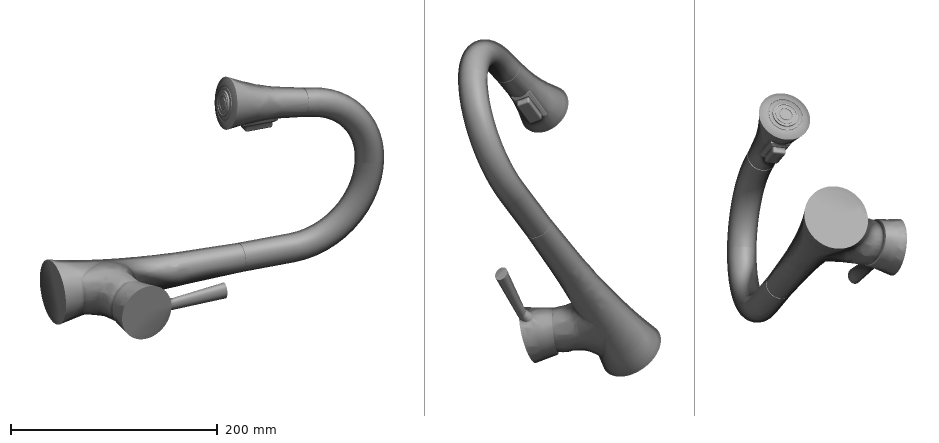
import cadquery as cq
import math

BASE_R = 32.0
TUBE_R = 14.3
BASE_BAND = 14.0
BAND_R = 29.3
COLUMN_LEN = 198.0
MID_Y = 102.8
MID_R = 18.0

GROOVE_W = 1.0
GROOVE_DEPTH = 0.52

GOOSE_REACH = 334.0
LOWER_BEND_R = 82.0
UPPER_BEND_R = 71.0
UPPER_RUN = 12.2
HEAD_TILT = 10.0

HEAD_LEN = 82.0
HEAD_MID_S = 48.8
HEAD_MID_R = 18.0
HEAD_RIM_R = 25.8
DOME_R = 18.0
DOME_RISE = 2.0
DOME_MID_R = 22.3
DOME_MID_RISE = 1.5
RING_GROOVE = (17.8, 16.0)
NOZZLE_R = 12.5
NOZZLE_RISE = 1.7
NOZZLE_GROOVES = [(11.0, 9.8), (7.0, 5.5)]
FACE_GROOVE_DEPTH = 0.7

BUTTON_Y = 215.0
BUTTON_BOSS = (19.5, 37.0)
BUTTON_PAD = (13.2, 28.5)
BOSS_BOTTOM_Z = 142.5
PAD_BOTTOM_Z = 136.2
BUTTON_TOP_Z = 156.8
PAD_FILLET = 1.7
BOSS_CHAMFER = 2.5

NECK_SECTIONS = [
    ((-3.5, 76.5), (-3.5, 21.0), 23.0),
    ((14.0, 84.3), (25.0, 14.0), 23.7),
    ((24.5, 79.0), (32.5, 28.0), 23.5),
    ((35.0, 78.7), (44.5, 34.0), 23.0),
]
NECK_END = (52.3, 60.3)
NECK_END_TILT = 19.0
NECK_END_HALF = 21.0
NECK_END_HALF_Z = 21.5
SECTION_POINTS = 12

CAP_BASE_R = 23.0
CAP_BASE_DROP = 2.0
CAP_END = (78.5, 65.0)
CAP_END_TILT = 7.5
CAP_END_R = 28.0
LEVER_TIP = (62.5, 154.5, 6.5, 8.0)
LEVER_ROOT = (70.5, 95.8, 4.5, 6.0)
LEVER_FOOT = (68.3, 87.0, 6.3, 7.0)


def tilted_plane(point, tilt):
    """Plane through (x, y, 0) whose normal is +X turned by tilt degrees toward +Y."""
    a = math.radians(tilt)
    return cq.Plane(origin=(point[0], point[1], 0), xDir=(-math.sin(a), math.cos(a), 0),
                    normal=(math.cos(a), math.sin(a), 0))


def make_column():
    groove_start = COLUMN_LEN - GROOVE_W
    profile = (
        cq.Workplane("XY")
        .lineTo(BASE_R, 0)
        .spline([(BAND_R, BASE_BAND), (MID_R, MID_Y), (TUBE_R, groove_start)], includeCurrent=True)
        .lineTo(TUBE_R - GROOVE_DEPTH, groove_start)
        .lineTo(TUBE_R - GROOVE_DEPTH, COLUMN_LEN)
        .lineTo(0, COLUMN_LEN)
        .close()
    )
    return profile.revolve(360, (0, 0, 0), (0, 1, 0))


TILT = math.radians(HEAD_TILT)
HEAD_DIR = (-math.cos(TILT), math.sin(TILT))
BEND_END = (GOOSE_REACH - UPPER_BEND_R * (1 - math.sin(TILT)),
            LOWER_BEND_R + UPPER_BEND_R * math.cos(TILT))
HEAD_START = (BEND_END[0] + UPPER_RUN * HEAD_DIR[0], BEND_END[1] + UPPER_RUN * HEAD_DIR[1])


def make_gooseneck():
    half_turn = math.radians((90 - HEAD_TILT) / 2)
    bend_mid = (GOOSE_REACH - UPPER_BEND_R * (1 - math.cos(half_turn)),
                LOWER_BEND_R + UPPER_BEND_R * math.sin(half_turn))
    lower_start_y = GOOSE_REACH - LOWER_BEND_R
    lower_mid = (lower_start_y + LOWER_BEND_R * math.sin(math.pi / 4),
                 LOWER_BEND_R * (1 - math.cos(math.pi / 4)))
    path = (
        cq.Workplane("YZ")
        .moveTo(COLUMN_LEN, 0)
        .lineTo(lower_start_y, 0)
        .threePointArc(lower_mid, (GOOSE_REACH, LOWER_BEND_R))
        .threePointArc(bend_mid, BEND_END)
        .lineTo(*HEAD_START)
    )
    start = cq.Plane(origin=(0, COLUMN_LEN, 0), xDir=(1, 0, 0), normal=(0, 1, 0))
    return cq.Workplane(start).circle(TUBE_R).sweep(path)


def cut_groove_profile(profile, radii, top):
    """Continue a head profile inward along a face at height top, dipping through one ring groove."""
    outer, inner = radii
    floor = top - FACE_GROOVE_DEPTH
    return profile.lineTo(outer, top).lineTo(outer, floor).lineTo(inner, floor).lineTo(inner, top)


def make_head():
    """Flared spray head; the profile is (radius, distance along the head axis)."""
    dome_top = HEAD_LEN + DOME_RISE
    nozzle_top = dome_top + NOZZLE_RISE
    plane = cq.Plane(origin=(0, HEAD_START[0], HEAD_START[1]), xDir=(1, 0, 0),
                     normal=(0, -HEAD_DIR[1], HEAD_DIR[0]))
    profile = (
        cq.Workplane(plane)
        .lineTo(TUBE_R - GROOVE_DEPTH, 0)
        .lineTo(TUBE_R - GROOVE_DEPTH, GROOVE_W)
        .lineTo(TUBE_R, GROOVE_W)
        .spline([(HEAD_MID_R, HEAD_MID_S), (HEAD_RIM_R, HEAD_LEN)], includeCurrent=True)
        .threePointArc((DOME_MID_R, HEAD_LEN + DOME_MID_RISE), (DOME_R, dome_top))
    )
    profile = cut_groove_profile(profile, RING_GROOVE, dome_top)
    profile = profile.lineTo(NOZZLE_R, dome_top).lineTo(NOZZLE_R, nozzle_top)
    for radii in NOZZLE_GROOVES:
        profile = cut_groove_profile(profile, radii, nozzle_top)
    return profile.lineTo(0, nozzle_top).close().revolve(360, (0, 0, 0), (0, 1, 0))


def button_block(size, bottom):
    """Upright block that reaches from bottom up into the head."""
    height = BUTTON_TOP_Z - bottom
    return cq.Workplane("XY", origin=(0, BUTTON_Y, bottom)).rect(*size).extrude(height)


def make_button():
    boss = button_block(BUTTON_BOSS, BOSS_BOTTOM_Z).edges("<Z").chamfer(BOSS_CHAMFER)
    pad = button_block(BUTTON_PAD, PAD_BOTTOM_Z).edges("|Z or <Z").fillet(PAD_FILLET)
    return boss.union(pad)


def ellipse_wire(plane, half_x, half_y):
    """Closed smooth curve through points of an ellipse, starting on the local X axis."""
    turns = [2 * math.pi * i / SECTION_POINTS for i in range(SECTION_POINTS)]
    points = [(half_x * math.cos(t), half_y * math.sin(t)) for t in turns]
    return cq.Workplane(plane).spline(points, periodic=True).wire().val()


def neck_section(upper, lower, half_z):
    """Elliptical wire standing across the neck between two (x, y) silhouette points."""
    centre = ((upper[0] + lower[0]) / 2, (upper[1] + lower[1]) / 2)
    tilt = math.degrees(math.atan2(lower[0] - upper[0], upper[1] - lower[1]))
    return ellipse_wire(tilted_plane(centre, tilt), math.dist(upper, lower) / 2, half_z)


def make_neck():
    """Loft that flares out of the column and ends on the tilted seat of the handle."""
    wires = [neck_section(*section) for section in NECK_SECTIONS]
    wires.append(ellipse_wire(tilted_plane(NECK_END, NECK_END_TILT), NECK_END_HALF, NECK_END_HALF_Z))
    return cq.Workplane(cq.Solid.makeLoft(wires))


def make_faucet():
    body = make_column()
    for part in (make_neck(), make_gooseneck(), make_head(), make_button()):
        body = body.union(part)
    return body


def make_lever_part(sections):
    """Loft between upright ellipses that face along Y."""
    wires = []
    for x, y, half_x, half_z in sections:
        plane = cq.Plane(origin=(x, y, 0), xDir=(1, 0, 0), normal=(0, 1, 0))
        wires.append(ellipse_wire(plane, half_x, half_z))
    return cq.Workplane(cq.Solid.makeLoft(wires))


def make_handle():
    seat_tilt = math.radians(NECK_END_TILT)
    base_centre = (NECK_END[0] + CAP_BASE_DROP * math.sin(seat_tilt),
                   NECK_END[1] - CAP_BASE_DROP * math.cos(seat_tilt))
    base = cq.Workplane(tilted_plane(base_centre, NECK_END_TILT)).circle(CAP_BASE_R).wires().val()
    end = cq.Workplane(tilted_plane(CAP_END, CAP_END_TILT)).circle(CAP_END_R).wires().val()
    cap = cq.Workplane(cq.Solid.makeLoft([base, end]))
    lever = make_lever_part([LEVER_TIP, LEVER_ROOT])
    foot = make_lever_part([LEVER_ROOT, LEVER_FOOT])
    return cap.union(lever).union(foot)


faucet = make_faucet()
handle = make_handle()
result = cq.Compound.makeCompound([faucet.val(), handle.val()])